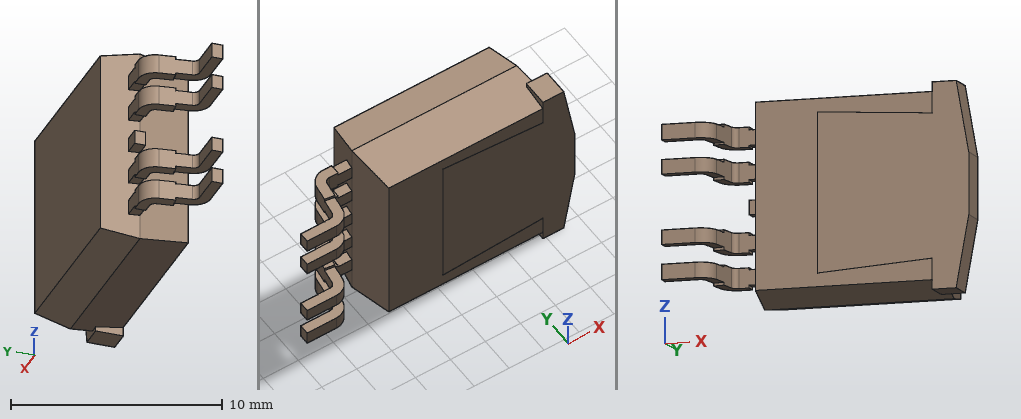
import cadquery as cq
import math


overall_height = 4.5
tab_protrusion = 0.008

housing_height = overall_height - tab_protrusion
parting_y = 2.59
lead_side_x_parting = 4.3
lead_side_x_front = 4.67
lead_side_x_back = 4.56
tab_side_x_front = 14.1
tab_side_x_back = 13.45
housing_width = 10.0
front_width = 9.09
back_width = 9.33

tab_thickness = 1.4
tab_inner_x = 7.75
tab_inner_width = 7.77
tab_shoulder_x = 13.48
tab_neck_width = 7.0
tab_taper_x = 14.67
tab_end_x = 15.3
tab_end_width = 3.01

lead_pitch = 1.7
lead_thickness = 0.55
lead_width = 0.7
lead_wide_width = 0.98
outer_lead_extra = 0.05
foot_length = 1.67
inner_bend_radius = 0.29
outer_bend_radius = inner_bend_radius + lead_thickness
leg_lean = math.radians(8)
wide_start_x = 3.52
wide_end_y = 1.56
lead_reach_x = 4.9
cropped_lead_x = 3.52
outer_lead_position = 2

lower_bend_x = foot_length
lower_bend_y = outer_bend_radius
upper_bend_y = parting_y - inner_bend_radius
bend_rise = upper_bend_y - lower_bend_y
bend_run = (inner_bend_radius + outer_bend_radius + bend_rise * math.sin(leg_lean)) / math.cos(leg_lean)
upper_bend_x = lower_bend_x + bend_run


def mirrored_outline(half_outline):
    """Close an outline given by its +Z half, as (position, half width) points."""
    return half_outline + [(p, -w) for p, w in reversed(half_outline)]


def make_housing_block():
    """Block that tapers away from the parting line on its sides."""
    side = (
        cq.Workplane("XY", origin=(0, 0, -housing_width / 2))
        .polyline([
            (lead_side_x_front, 0),
            (tab_side_x_front, 0),
            (tab_side_x_back, housing_height),
            (lead_side_x_back, housing_height),
            (lead_side_x_parting, parting_y),
        ])
        .close()
        .extrude(housing_width)
    )
    end = (
        cq.Workplane("YZ")
        .polyline(mirrored_outline([
            (0, front_width / 2),
            (parting_y, housing_width / 2),
            (housing_height, back_width / 2),
        ]))
        .close()
        .extrude(tab_end_x)
    )
    return side.intersect(end)


def make_heat_tab():
    """Plate with a tapered tongue, standing slightly below the underside of the housing."""
    outline = mirrored_outline([
        (tab_inner_x, tab_inner_width / 2),
        (tab_shoulder_x, tab_neck_width / 2),
        (tab_shoulder_x, housing_width / 2),
        (tab_taper_x, housing_width / 2),
        (tab_end_x, tab_end_width / 2),
    ])
    return cq.Workplane("XZ", origin=(0, -tab_protrusion, 0)).polyline(outline).close().extrude(-tab_thickness)


def lower_bend_point(radius, angle):
    """Point on the lower bend, with the angle measured from the foot's normal."""
    return (lower_bend_x + radius * math.sin(angle), lower_bend_y - radius * math.cos(angle))


def upper_bend_point(radius, angle):
    """Point on the upper bend, with the angle measured from the top run's normal."""
    return (upper_bend_x - radius * math.sin(angle), upper_bend_y + radius * math.cos(angle))


def lead_strip(z_low, z_high):
    """Full S-bent strip of the lead between two Z heights."""
    turn = math.pi / 2 - leg_lean
    top_y = parting_y + lead_thickness
    profile = (
        cq.Workplane("XY", origin=(0, 0, z_low))
        .moveTo(0, 0)
        .lineTo(*lower_bend_point(outer_bend_radius, 0))
        .threePointArc(lower_bend_point(outer_bend_radius, turn / 2), lower_bend_point(outer_bend_radius, turn))
        .lineTo(*upper_bend_point(inner_bend_radius, turn))
        .threePointArc(upper_bend_point(inner_bend_radius, turn / 2), upper_bend_point(inner_bend_radius, 0))
        .lineTo(lead_reach_x, parting_y)
        .lineTo(lead_reach_x, top_y)
        .lineTo(*upper_bend_point(outer_bend_radius, 0))
        .threePointArc(upper_bend_point(outer_bend_radius, turn / 2), upper_bend_point(outer_bend_radius, turn))
        .lineTo(*lower_bend_point(inner_bend_radius, turn))
        .threePointArc(lower_bend_point(inner_bend_radius, turn / 2), lower_bend_point(inner_bend_radius, 0))
        .lineTo(0, lead_thickness)
        .close()
    )
    return profile.extrude(z_high - z_low)


def wide_zone():
    """Region that holds the wide part of a lead; its lower edge is square to the leg."""
    lower_slope = math.tan(leg_lean)
    leg_x = (lower_bend_x + upper_bend_x) / 2
    leg_x += (wide_end_y - (lower_bend_y + upper_bend_y) / 2) * lower_slope
    return (
        cq.Workplane("XY", origin=(0, 0, -housing_width / 2))
        .polyline([
            (0, wide_end_y + leg_x * lower_slope),
            (wide_start_x, wide_end_y - (wide_start_x - leg_x) * lower_slope),
            (wide_start_x, housing_height),
            (0, housing_height),
        ])
        .close()
        .extrude(housing_width)
    )


def make_lead(position, housing_block):
    """Bent lead at a signed number of pitches from the middle, ending on the housing face."""
    z = position * lead_pitch
    z_low = z - lead_width / 2
    z_high = z + lead_width / 2
    if position == outer_lead_position:
        z_low -= outer_lead_extra
    if position == -outer_lead_position:
        z_high += outer_lead_extra
    wide_part = lead_strip(z - lead_wide_width / 2, z + lead_wide_width / 2).intersect(wide_zone())
    return lead_strip(z_low, z_high).union(wide_part).cut(housing_block)


def make_cropped_lead(housing_block):
    """Short straight centre lead, ending on the housing face."""
    return (
        cq.Workplane("XY", origin=(cropped_lead_x, parting_y, -lead_width / 2))
        .rect(lead_reach_x - cropped_lead_x, lead_thickness, centered=False)
        .extrude(lead_width)
        .cut(housing_block)
    )


housing_block = make_housing_block()
heat_tab = make_heat_tab()
housing = housing_block.cut(heat_tab)
cropped_lead = make_cropped_lead(housing_block)
leads = [make_lead(position, housing_block) for position in (-outer_lead_position, -1, 1, outer_lead_position)]

result = cq.Compound.makeCompound([
    housing.val(),
    heat_tab.val(),
    cropped_lead.val(),
    *[lead.val() for lead in leads],
])